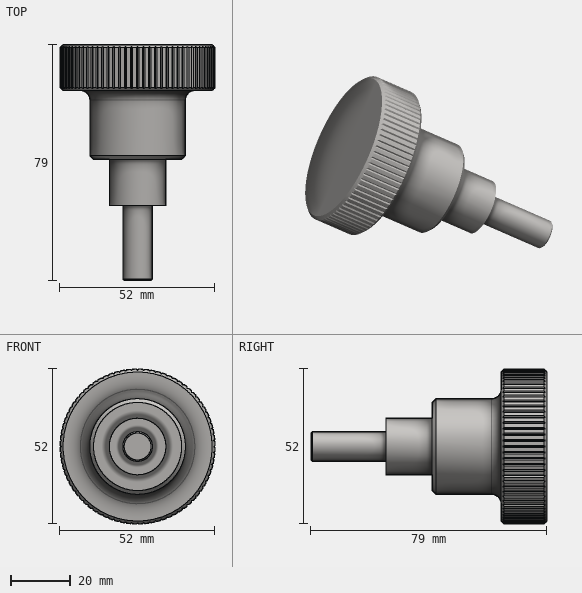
import cadquery as cq
import math


GRIP_RADIUS = 26.0
GRIP_LENGTH = 15.4
GRIP_CHAMFER = 1.0
HUB_RADIUS = 16.0
HUB_END = 38.5
HUB_CHAMFER = 1.3
HUB_FILLET = 3.15

GROOVE_COUNT = 80
GROOVE_WIDTH = 0.8
GROOVE_DEPTH = 0.4
GROOVE_OVERRUN = 0.4

SHOULDER_RADIUS = 9.5
SHOULDER_END = 53.95
PIN_RADIUS = 5.0
PIN_END = 79.0
PIN_CHAMFER = 0.5


def make_knob_blank():
    """Revolve the smooth knob: chamfered grip, filleted root and chamfered hub."""
    arc_offset = HUB_FILLET * (1 - math.sqrt(0.5))
    profile = (
        cq.Workplane("XY")
        .moveTo(0, 0)
        .lineTo(GRIP_RADIUS - GRIP_CHAMFER, 0)
        .lineTo(GRIP_RADIUS, -GRIP_CHAMFER)
        .lineTo(GRIP_RADIUS, -GRIP_LENGTH + GRIP_CHAMFER)
        .lineTo(GRIP_RADIUS - GRIP_CHAMFER, -GRIP_LENGTH)
        .lineTo(HUB_RADIUS + HUB_FILLET, -GRIP_LENGTH)
        .threePointArc(
            (HUB_RADIUS + arc_offset, -GRIP_LENGTH - arc_offset),
            (HUB_RADIUS, -GRIP_LENGTH - HUB_FILLET),
        )
        .lineTo(HUB_RADIUS, -HUB_END + HUB_CHAMFER)
        .lineTo(HUB_RADIUS - HUB_CHAMFER, -HUB_END)
        .lineTo(0, -HUB_END)
        .close()
    )
    return profile.revolve(360, (0, 0, 0), (0, 1, 0))


def make_groove_cutters():
    """Make one V-shaped cutter per groove, running the full length of the grip."""
    outer_half_width = GROOVE_WIDTH / 2 * (1 + GROOVE_OVERRUN / GROOVE_DEPTH)
    cutter = (
        cq.Workplane("XZ")
        .moveTo(GRIP_RADIUS - GROOVE_DEPTH, 0)
        .lineTo(GRIP_RADIUS + GROOVE_OVERRUN, outer_half_width)
        .lineTo(GRIP_RADIUS + GROOVE_OVERRUN, -outer_half_width)
        .close()
        .extrude(GRIP_LENGTH)
        .val()
    )
    pitch_angle = 360 / GROOVE_COUNT
    cutters = []
    for index in range(GROOVE_COUNT):
        cutters.append(cutter.rotate((0, 0, 0), (0, 1, 0), index * pitch_angle))
    return cq.Compound.makeCompound(cutters)


def make_knob():
    """Cut the knurl into the grip of the knob."""
    return make_knob_blank().cut(cq.Workplane(make_groove_cutters()))


def make_stud():
    """Make the stepped stud: a shoulder seated on the hub face and a chamfered pin."""
    shoulder = (
        cq.Workplane("XZ", origin=(0, -HUB_END, 0))
        .circle(SHOULDER_RADIUS)
        .extrude(SHOULDER_END - HUB_END)
    )
    pin = (
        cq.Workplane("XZ", origin=(0, -SHOULDER_END, 0))
        .circle(PIN_RADIUS)
        .extrude(PIN_END - SHOULDER_END)
        .faces("<Y")
        .chamfer(PIN_CHAMFER)
    )
    return shoulder.union(pin)


knob = make_knob()
stud = make_stud()

result = cq.Compound.makeCompound([knob.solids().val(), stud.solids().val()])